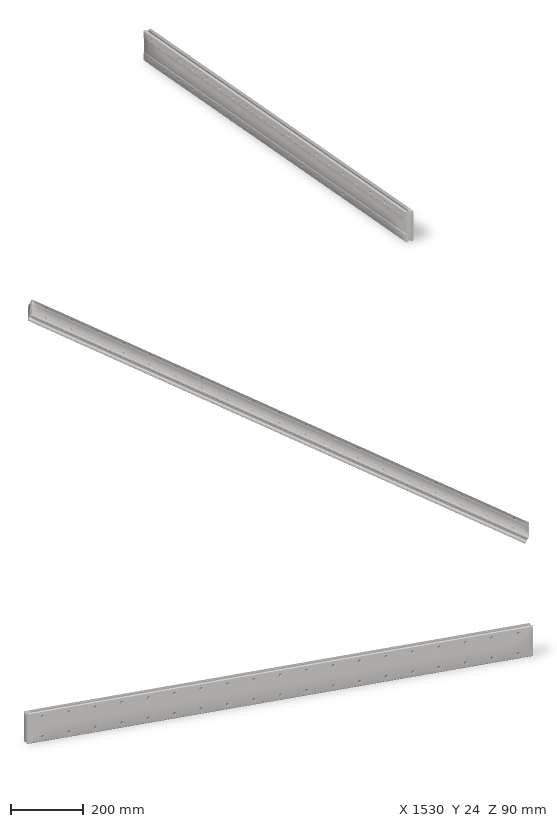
import cadquery as cq

length = 1530.0
thickness = 24.0
height = 90.0
corner_chamfer = 1.5

band_floor_height = 40.5
band_depth = 1.5

mouth_width = 11.0
slot_width = 5.0
mouth_depth = 3.0
groove_depth = 5.0

hole_diameter = 9.0
hole_count = 19
hole_pitch = 80.0
hole_row_spacing = 60.0

front = -thickness / 2


def extrude_section(points):
    """Closed (Y, Z) outline swept along the full length of the bar."""
    return cq.Workplane("YZ", origin=(-length / 2, 0, 0)).polyline(points).close().extrude(length)


def make_bar():
    bar = cq.Workplane("XY").box(length, thickness, height)
    return bar.edges("|X").chamfer(corner_chamfer)


def make_front_band():
    floor_half = band_floor_height / 2
    mouth_half = floor_half + band_depth
    return extrude_section([
        (front, -mouth_half),
        (front + band_depth, -floor_half),
        (front + band_depth, floor_half),
        (front, mouth_half),
    ])


def make_edge_groove(side):
    """Groove in the top edge (side = 1) or the bottom edge (side = -1)."""
    edge = side * height / 2
    throat = edge - side * mouth_depth
    floor = edge - side * groove_depth
    return extrude_section([
        (-mouth_width / 2, edge),
        (-slot_width / 2, throat),
        (-slot_width / 2, floor),
        (slot_width / 2, floor),
        (slot_width / 2, throat),
        (mouth_width / 2, edge),
    ])


def make_holes():
    return (
        cq.Workplane("XZ", origin=(0, thickness / 2, 0))
        .rarray(hole_pitch, hole_row_spacing, hole_count, 2)
        .circle(hole_diameter / 2)
        .extrude(thickness)
    )


bar = make_bar().cut(make_front_band())
for side in (1, -1):
    bar = bar.cut(make_edge_groove(side))
result = bar.cut(make_holes())